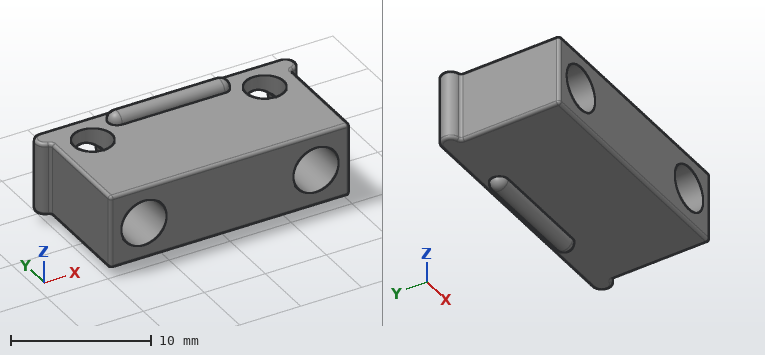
import cadquery as cq
import math

overall_width = 21.3
depth = 10.0
height = 6.0
edge_radius = 0.25

lobe_radius = 0.8
neck_radius = 0.25

rib_radius = 0.75
rib_straight_length = 8.41
rib_setback = 1.25

hole_spacing = 14.1
horizontal_diameter = 3.7
vertical_diameter = 3.1
vertical_setback = 2.73

half_width = overall_width / 2 - lobe_radius
lobe_y = depth - lobe_radius


def make_block():
    """Rounded block with a lobe blended into each side by a concave neck."""
    neck_y = lobe_y - math.sqrt((lobe_radius + neck_radius) ** 2 - neck_radius**2)
    neck_x = half_width + neck_radius
    blend = lobe_radius / (lobe_radius + neck_radius)
    blend_x = half_width + neck_radius * blend
    blend_y = lobe_y + (neck_y - lobe_y) * blend

    blend_angle = math.atan2(blend_y - neck_y, blend_x - neck_x)
    middle_angle = (blend_angle + math.pi) / 2
    middle_x = neck_x + neck_radius * math.cos(middle_angle)
    middle_y = neck_y + neck_radius * math.sin(middle_angle)

    lobe_tip_x = half_width + lobe_radius
    outline = (
        cq.Workplane("XY")
        .workplane(offset=-height / 2)
        .moveTo(-half_width, 0)
        .lineTo(half_width, 0)
        .lineTo(half_width, neck_y)
        .threePointArc((middle_x, middle_y), (blend_x, blend_y))
        .threePointArc((lobe_tip_x, lobe_y), (half_width, depth))
        .lineTo(-half_width, depth)
        .threePointArc((-lobe_tip_x, lobe_y), (-blend_x, blend_y))
        .threePointArc((-middle_x, middle_y), (-half_width, neck_y))
        .close()
    )
    block = outline.extrude(height)
    front_corners = cq.selectors.BoxSelector(
        (-overall_width, -edge_radius, -height),
        (overall_width, edge_radius, height),
    )
    block = block.edges("|Z").edges(front_corners).fillet(edge_radius)
    return block.faces("<Z or >Z").edges().fillet(edge_radius)


def make_rib(z):
    """Round bar along X with a sphere at each end."""
    y = depth - rib_setback
    half_length = rib_straight_length / 2
    rib = (
        cq.Workplane("YZ", origin=(-half_length, y, z))
        .circle(rib_radius)
        .extrude(rib_straight_length)
    )
    for x in (-half_length, half_length):
        rib = rib.union(cq.Workplane("XY", origin=(x, y, z)).sphere(rib_radius))
    return rib


result = make_block()

for rib_z in (-height / 2, height / 2):
    result = result.union(make_rib(rib_z))

for hole_x in (-hole_spacing / 2, hole_spacing / 2):
    horizontal_hole = (
        cq.Workplane("XZ", origin=(hole_x, depth, 0))
        .circle(horizontal_diameter / 2)
        .extrude(depth)
    )
    vertical_hole = (
        cq.Workplane("XY", origin=(hole_x, depth - vertical_setback, 0))
        .circle(vertical_diameter / 2)
        .extrude(height / 2)
    )
    result = result.cut(horizontal_hole).cut(vertical_hole)